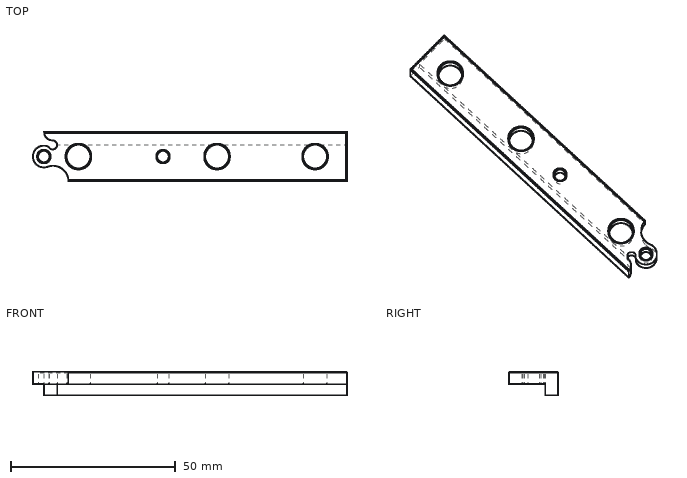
import cadquery as cq
import math

length = 95.3
width = 15.0
height = 7.2
plate_thickness = 3.8
edge_chamfer = 0.4
back_y = width / 2
front_y = -back_y
plate_bottom = height - plate_thickness

eye_radius = 3.3
eye_x = eye_radius

scallop_end_x = 10.8

notch_x = 6.0
notch_y = 3.5
notch_radius = 1.3
nose_radius = back_y - notch_y - notch_radius

small_hole_diameter = 3.4
large_hole_diameter = 7.1
hole_chamfer = 0.4
small_hole_xs = (eye_x, 39.5)
large_hole_xs = (13.8, 55.8, 85.6)


def on_circle(center, radius, angle):
    """Point on a circle at an angle in radians."""
    return (center[0] + radius * math.cos(angle), center[1] + radius * math.sin(angle))


def profile():
    """Closed outline of the bar, including the eye, scallop, nose and notch."""
    eye = (eye_x, 0)
    notch = (notch_x, notch_y)

    reach = scallop_end_x - eye_x
    offset = ((reach + eye_radius) ** 2 - back_y**2) / (2 * (reach + eye_radius))
    scallop = (eye_x + offset, front_y)
    scallop_radius = reach - offset
    tangent_angle = math.atan2(front_y, offset)
    scallop_start_angle = tangent_angle + math.pi
    scallop_mid_angle = scallop_start_angle / 2

    spacing = math.hypot(notch_x - eye_x, notch_y)
    cosine = (spacing**2 + eye_radius**2 - notch_radius**2) / (2 * spacing * eye_radius)
    cusp_angle = math.atan2(notch_y, notch_x - eye_x) + math.acos(cosine)
    cusp = on_circle(eye, eye_radius, cusp_angle)

    nose = (notch_x, back_y)
    nose_middle = on_circle(nose, nose_radius, math.radians(225))
    return (
        cq.Workplane("XY")
        .moveTo(scallop_end_x, front_y)
        .lineTo(length, front_y)
        .lineTo(length, back_y)
        .lineTo(notch_x - nose_radius, back_y)
        .threePointArc(nose_middle, (notch_x, back_y - nose_radius))
        .threePointArc(on_circle(notch, notch_radius, 0), cusp)
        .threePointArc((0, 0), on_circle(eye, eye_radius, tangent_angle))
        .threePointArc(on_circle(scallop, scallop_radius, scallop_mid_angle), (scallop_end_x, front_y))
        .close()
    )


def bar():
    """Thin plate with a full-height rail along its back side."""
    blank = profile().extrude(height)
    under_plate = cq.Workplane("XY").box(length, notch_y - front_y, plate_bottom, centered=False)
    body = blank.cut(under_plate.translate((0, front_y, 0)))
    straight_top_edges = body.faces(">Z").edges("%LINE")
    return straight_top_edges.chamfer(edge_chamfer)


def hole(x, diameter):
    """Hole through the plate with a chamfered upper rim."""
    radius = diameter / 2
    section = [
        (0, plate_bottom),
        (radius, plate_bottom),
        (radius, height - hole_chamfer),
        (radius + hole_chamfer, height),
        (0, height),
    ]
    cutter = cq.Workplane("XZ").polyline(section).close().revolve(360, (0, 0), (0, 1))
    return cutter.translate((x, 0, 0))


result = bar()
for hole_x in small_hole_xs:
    result = result.cut(hole(hole_x, small_hole_diameter))
for hole_x in large_hole_xs:
    result = result.cut(hole(hole_x, large_hole_diameter))